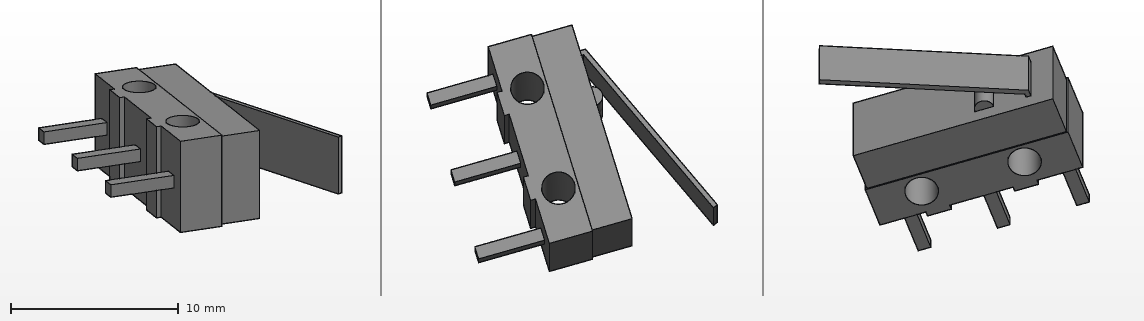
import cadquery as cq
import math

base_length = 12.8
base_height = 2.7
base_width = 5.8
cover_length = 12.6
cover_height = 2.5
cover_width = 5.6
housing_top = base_height + cover_height

hole_diameter = 2.0
hole_spacing = 6.5
hole_height = 1.51

rib_length = 1.51
rib_depth = 0.3
rib_spacing = 5.51

pin_size = 0.8
pin_length = 4.1
pin_pitch = 5.0

button_radius = 0.6
button_x = -1.97
button_width = 3.62

total_height = 14.5
total_length = 13.15
lever_width = 3.62
lever_thickness = 0.3
lever_stem_x = -4.92
lever_angle = 22.5


def box(length, height, width, x, bottom):
    """Block centred on Z, centred at x, standing on the given Y level."""
    return cq.Workplane("XY").box(length, height, width).translate((x, bottom + height / 2, 0))


def cylinder(radius, width, x, y):
    """Cylinder along Z, centred on Z."""
    return cq.Workplane("XY").center(x, y).circle(radius).extrude(width / 2, both=True)


def make_housing():
    base = box(base_length, base_height, base_width, 0, 0)
    for side in (-1, 1):
        base = base.cut(cylinder(hole_diameter / 2, base_width, side * hole_spacing / 2, hole_height))
        base = base.union(box(rib_length, rib_depth, base_width, side * rib_spacing / 2, -rib_depth))
    return base.union(box(cover_length, cover_height, cover_width, 0, base_height))


def make_lever():
    angle = math.radians(lever_angle)
    under_tip_x = total_length - base_length / 2
    tip_x = under_tip_x - lever_thickness * math.sin(angle)
    tip_y = total_height - pin_length
    under_tip_y = tip_y - lever_thickness * math.cos(angle)
    bend_y = tip_y - (tip_x - lever_stem_x) * math.tan(angle)
    inner_x = lever_stem_x + lever_thickness
    inner_bend_y = under_tip_y - (under_tip_x - inner_x) * math.tan(angle)
    outline = [
        (lever_stem_x, housing_top),
        (lever_stem_x, bend_y),
        (tip_x, tip_y),
        (under_tip_x, under_tip_y),
        (inner_x, inner_bend_y),
        (inner_x, housing_top),
    ]
    return cq.Workplane("XY").polyline(outline).close().extrude(lever_width / 2, both=True)


result = make_housing()
for position in (-1, 0, 1):
    result = result.union(box(pin_size, pin_length, pin_size, position * pin_pitch, -pin_length))
result = result.union(cylinder(button_radius, button_width, button_x, housing_top))
result = result.union(make_lever())